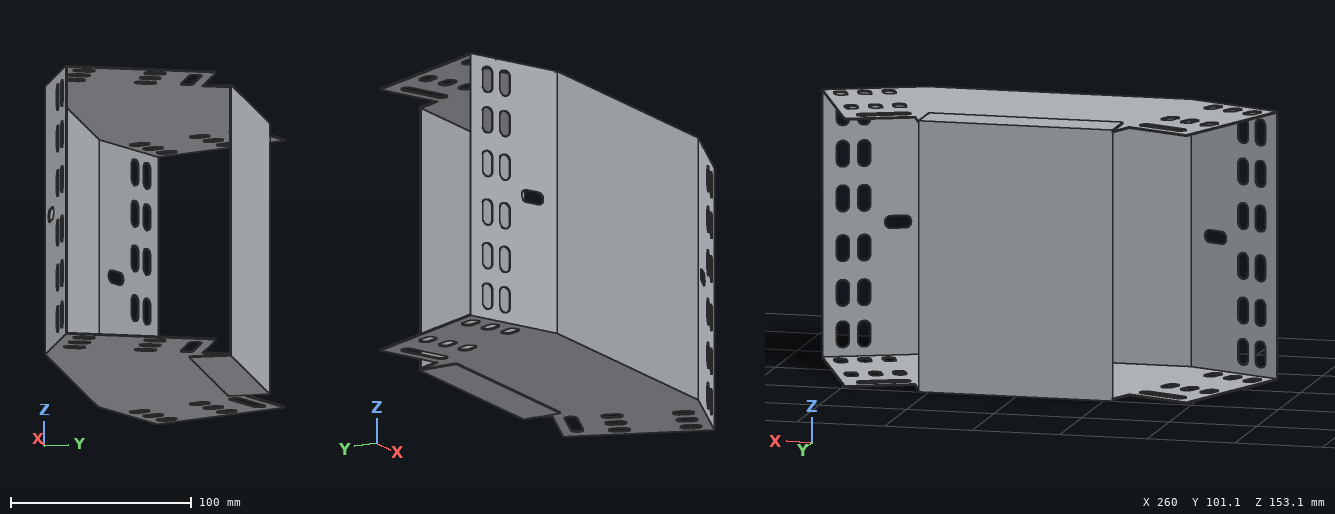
import cadquery as cq
import math

overall_length = 260.0
overall_depth = 101.1
overall_height = 153.1
sheet = 0.75

leg_angle = 22.5
leg_length = 59.3
leg_cos = math.cos(math.radians(leg_angle))
leg_sin = math.sin(math.radians(leg_angle))
bend_x = overall_length / 2 - leg_length * leg_cos
leg_rise = leg_length * leg_sin
leg_depth = (overall_depth - leg_rise) / leg_cos
tab_length = 39.3

cover_length = 110.8
cover_lip = 23.7
channel_height = overall_height - 2 * sheet
channel_back = overall_depth - sheet

slot_width = 7.0
flange_slot_length = 12.0
flange_slot_start = 8.5
flange_slot_pitch = 13.5
flange_slot_columns = 3
flange_slot_rows = (12.0, 52.0)
long_slot_length = 30.2
long_slot_along = 23.1
long_slot_from_back = 9.5

wall_slot_length = 14.8
wall_slot_columns = (11.5, 23.5)
wall_slot_heights = (14.0, 39.3, 62.7)
center_slot_along = 42.5


def leg_point(along, across):
    """Plan point on the left leg, measured from its outer front corner."""
    x = -overall_length / 2 + along * leg_cos + across * leg_sin
    y = leg_rise - along * leg_sin + across * leg_cos
    return x, y


def mirrored_outline(left_points):
    """Closed plan outline made of the left half and its mirror image."""
    right_points = [(-x, y) for x, y in reversed(left_points)]
    return cq.Workplane("XY").polyline(left_points + right_points).close()


def centered_prism(outline, height):
    return outline.extrude(height / 2, both=True)


def make_channel_blank():
    """Flat front wall, two tilted wall legs and the two flanges, before punching."""
    outer_corner = leg_point(0, 0)
    front_bend = (-bend_x, 0)
    notch_corner = leg_point(tab_length, leg_depth)
    notch_run = (channel_back - notch_corner[1]) * leg_sin / leg_cos
    notch_end = (notch_corner[0] + notch_run, channel_back)
    flange = [front_bend, outer_corner, leg_point(0, leg_depth), notch_corner, notch_end]
    blank = centered_prism(mirrored_outline(flange), channel_height)

    inner_bend_x = -bend_x + sheet * math.tan(math.radians(leg_angle / 2))
    cavity_back = 2 * overall_depth
    inner_leg_end = leg_point(-leg_length, sheet)
    cavity = [(inner_bend_x, sheet), inner_leg_end, (inner_leg_end[0], cavity_back)]
    return blank.cut(centered_prism(mirrored_outline(cavity), channel_height - 2 * sheet))


def flange_slot(along, across, length, direction):
    """Upright cutter passing through both flanges of the left leg."""
    outline = cq.Workplane("XY").center(*leg_point(along, across)).slot2D(length, slot_width, direction)
    return centered_prism(outline, overall_height)


def wall_slot(along, height, direction):
    """Cutter passing square through the front wall of the left leg at one height."""
    x, y = leg_point(along, 0)
    plane = cq.Plane(origin=(x, y, height), xDir=(leg_cos, -leg_sin, 0), normal=(-leg_sin, -leg_cos, 0))
    outline = cq.Workplane(plane).slot2D(wall_slot_length, slot_width, direction)
    return outline.extrude(2 * sheet, both=True)


def make_leg_cutters():
    """All slot cutters of the left leg."""
    across_leg = 90 - leg_angle
    along_leg = -leg_angle
    cutters = [flange_slot(long_slot_along, leg_depth - long_slot_from_back, long_slot_length, along_leg)]
    for across in flange_slot_rows:
        for column in range(flange_slot_columns):
            along = flange_slot_start + column * flange_slot_pitch
            cutters.append(flange_slot(along, across, flange_slot_length, across_leg))
    for along in wall_slot_columns:
        for height in wall_slot_heights:
            cutters.append(wall_slot(along, height, 90))
            cutters.append(wall_slot(along, -height, 90))
    cutters.append(wall_slot(center_slot_along, 0, 0))
    return cutters


def make_channel():
    channel = make_channel_blank()
    for cutter in make_leg_cutters():
        channel = channel.cut(cutter).cut(cutter.mirror("YZ"))
    return channel


def make_cover():
    """U-shaped plate behind the channel, with a lip over each flange."""
    lip_y = overall_depth - cover_lip
    block = cq.Workplane("XY").box(cover_length, cover_lip, overall_height)
    block = block.translate((0, lip_y + cover_lip / 2, 0))
    gap = cq.Workplane("XY").box(cover_length, cover_lip, channel_height)
    gap = gap.translate((0, channel_back - cover_lip / 2, 0))
    return block.cut(gap)


channel = make_channel()
cover = make_cover()
result = cq.Compound.makeCompound([channel.solids().val(), cover.solids().val()])